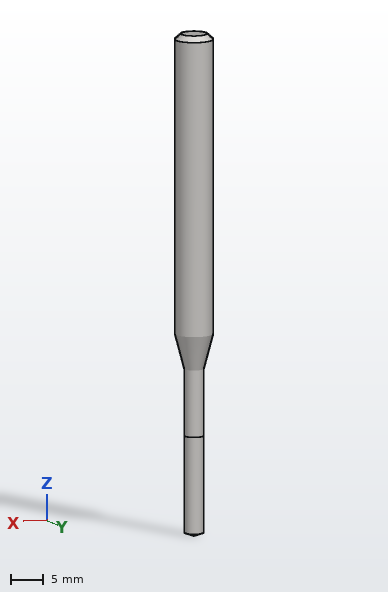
import cadquery as cq
import math

total_length = 78.55
shank_diameter = 6.0
neck_diameter = 3.1
shank_radius = shank_diameter / 2
neck_radius = neck_diameter / 2

cutter_top = 15.7
neck_top = 26.15
taper_top = 31.65

chamfer_width = 0.95
chamfer_height = 0.9
point_angle = 140.0
point_height = neck_radius / math.tan(math.radians(point_angle / 2))


def make_shank():
    """Shank with a chamfered top, a tapered shoulder and a thin neck."""
    profile = (
        cq.Workplane("XZ")
        .moveTo(0, cutter_top)
        .lineTo(neck_radius, cutter_top)
        .lineTo(neck_radius, neck_top)
        .lineTo(shank_radius, taper_top)
        .lineTo(shank_radius, total_length - chamfer_height)
        .lineTo(shank_radius - chamfer_width, total_length)
        .lineTo(0, total_length)
        .close()
    )
    return profile.revolve(360, (0, 0, 0), (0, 1, 0))


def make_cutter():
    """Cylindrical cutting end with a conical drill point."""
    profile = (
        cq.Workplane("XZ")
        .moveTo(0, 0)
        .lineTo(neck_radius, point_height)
        .lineTo(neck_radius, cutter_top)
        .lineTo(0, cutter_top)
        .close()
    )
    return profile.revolve(360, (0, 0, 0), (0, 1, 0))


shank = make_shank()
cutter = make_cutter()

result = cq.Compound.makeCompound([shank.val(), cutter.val()])